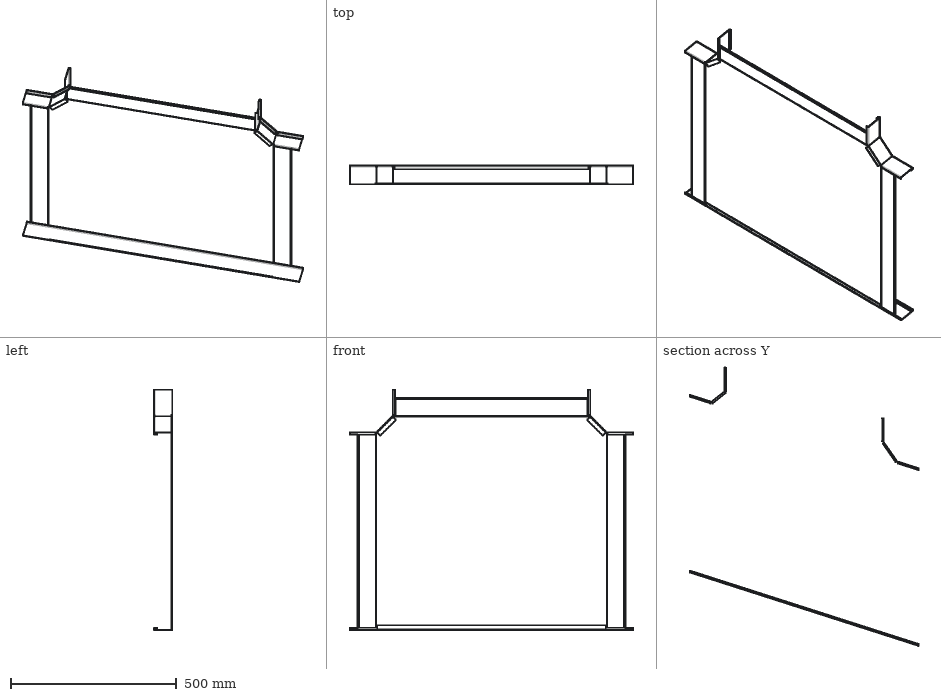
import cadquery as cq
import math

length = 854.0
depth = 57.0
height = 725.0
sheet = 1.9

bend_radius = 2.3
hem_radius = 3.6
hem_width = 11.0
short_lip = 7.3
long_lip = 15.0
long_lip_half_length = 344.0
relief = 2.5
slope_relief = 1.0

shelf_z = 234.0
shelf_end_x = 347.0
upright_x = 298.0
slope_angle = 45.0

side_band_outer = 404.0
side_band_inner = 347.0
top_band_bottom = 281.0
top_band_top = 338.0
top_band_half_length = 289.5
band_rim = 2.5
band_slope = 2.5

half_length = length / 2
front_y = -depth / 2
rear_y = depth / 2
bottom_z = -height / 2
top_z = height / 2
web_front_y = front_y + bend_radius
web_rear_y = rear_y - hem_radius
slope_rise = (shelf_end_x - upright_x) * math.tan(math.radians(slope_angle))
upright_z = shelf_z + slope_rise


def on_arc(center_y, center_depth, radius, degrees):
    """Point of an arc in a channel section; 0 degrees points to the rear, 90 to the outer face."""
    angle = math.radians(degrees)
    return (center_y + radius * math.cos(angle), center_depth + radius * math.sin(angle))


def section_plane(start, direction):
    """Section plane at a path point: local x is +Y, local -y points to the inside of the channel."""
    return cq.Plane(origin=(start[0], 0, start[1]), xDir=(0, 1, 0), normal=(direction[0], 0, direction[1]))


def front_lip(plane, run, lip):
    inner_radius = bend_radius - sheet
    return (
        cq.Workplane(plane)
        .moveTo(web_front_y, 0)
        .threePointArc(on_arc(web_front_y, -bend_radius, bend_radius, 135), (front_y, -bend_radius))
        .lineTo(front_y, -lip)
        .lineTo(front_y + sheet, -lip)
        .lineTo(front_y + sheet, -bend_radius)
        .threePointArc(on_arc(web_front_y, -bend_radius, inner_radius, 135), (web_front_y, -sheet))
        .close()
        .extrude(run)
    )


def rear_hem(plane, run):
    hem_height = 2 * hem_radius
    inner_radius = hem_radius - sheet
    free_edge_y = rear_y - hem_width
    return (
        cq.Workplane(plane)
        .moveTo(web_rear_y, 0)
        .threePointArc((rear_y, -hem_radius), (web_rear_y, -hem_height))
        .lineTo(free_edge_y, -hem_height)
        .lineTo(free_edge_y, sheet - hem_height)
        .lineTo(web_rear_y, sheet - hem_height)
        .threePointArc(on_arc(web_rear_y, -hem_radius, inner_radius, 0), (web_rear_y, -sheet))
        .close()
        .extrude(run)
    )


def channel_edges(start, end, start_gap, end_gap, lip):
    """Front lip and rear hem along one straight arm of a channel."""
    span = math.dist(start, end)
    direction = ((end[0] - start[0]) / span, (end[1] - start[1]) / span)
    first = (start[0] + direction[0] * start_gap, start[1] + direction[1] * start_gap)
    run = span - start_gap - end_gap
    plane = section_plane(first, direction)
    return front_lip(plane, run, lip).union(rear_hem(plane, run))


def web(outline):
    """Flat or folded web: an XZ outline carried from the front bend to the rear fold."""
    return (
        cq.Workplane("XZ", origin=(0, web_front_y, 0))
        .polyline(outline)
        .close()
        .extrude(web_front_y - web_rear_y)
    )


def make_left_corner():
    """Channel with a level arm, a 45 degree arm and an upright arm."""
    tip = (-half_length, shelf_z)
    shelf_bend = (-shelf_end_x, shelf_z)
    upright_bend = (-upright_x, upright_z)
    top = (-upright_x, top_z)
    miter = sheet * math.tan(math.radians(slope_angle / 2))
    body = web([
        tip,
        shelf_bend,
        upright_bend,
        top,
        (-upright_x + sheet, top_z),
        (-upright_x + sheet, upright_z - miter),
        (-shelf_end_x + miter, shelf_z - sheet),
        (-half_length, shelf_z - sheet),
    ])
    body = body.union(channel_edges(tip, shelf_bend, 0, relief, short_lip))
    body = body.union(channel_edges(shelf_bend, upright_bend, slope_relief, slope_relief, long_lip))
    return body.union(channel_edges(upright_bend, top, relief, 0, short_lip))


def make_bottom_channel():
    """Full-length channel whose front lip is taller between the side bands."""
    right_end = (half_length, bottom_z)
    left_end = (-half_length, bottom_z)
    body = web([
        left_end,
        right_end,
        (half_length, bottom_z + sheet),
        (-half_length, bottom_z + sheet),
    ])
    body = body.union(channel_edges(right_end, left_end, 0, 0, short_lip))
    lip_extension = cq.Workplane("XY").box(
        2 * long_lip_half_length, sheet, long_lip - short_lip, centered=(True, False, False)
    ).translate((0, front_y, bottom_z + short_lip))
    return body.union(lip_extension)


def band_prism(plane, inner, outer, run):
    """Trapezoid ridge, one sheet thick, from the panel face out to the front face."""
    return (
        cq.Workplane(plane)
        .polyline([
            (inner, front_y + sheet),
            (inner + band_slope, front_y),
            (outer - band_slope, front_y),
            (outer, front_y + sheet),
        ])
        .close()
        .extrude(run)
    )


def make_panel():
    """Sheet lying behind the lips, with three bands pressed forward flush with them."""
    side_bottom = bottom_z + short_lip
    side_top = shelf_z - short_lip
    slope_offset = shelf_z + shelf_end_x - bend_radius * math.sqrt(2)
    left_edge = [
        (-long_lip_half_length, bottom_z + bend_radius),
        (-long_lip_half_length, side_bottom),
        (-side_band_outer, side_bottom),
        (-side_band_outer, side_top),
        (side_top - slope_offset, side_top),
        (-top_band_half_length, slope_offset - top_band_half_length),
        (-top_band_half_length, top_band_top),
    ]
    right_edge = [(-x, z) for x, z in reversed(left_edge)]
    body = (
        cq.Workplane("XZ", origin=(0, front_y + sheet, 0))
        .polyline(left_edge + right_edge)
        .close()
        .extrude(-sheet)
    )

    side_plane = cq.Plane(origin=(0, 0, side_bottom), xDir=(1, 0, 0), normal=(0, 0, 1))
    right_band = band_prism(side_plane, side_band_inner, side_band_outer - band_rim, side_top - side_bottom)
    top_plane = cq.Plane(origin=(top_band_half_length, 0, 0), xDir=(0, 0, 1), normal=(-1, 0, 0))
    top_band = band_prism(top_plane, top_band_bottom, top_band_top - band_rim, 2 * top_band_half_length)
    for band in (right_band, right_band.mirror("YZ"), top_band):
        hollow = band.translate((0, sheet, 0))
        body = body.union(band).cut(hollow)
    return body


left_corner = make_left_corner()
right_corner = left_corner.mirror("YZ")
bottom_channel = make_bottom_channel()
panel = make_panel()

result = cq.Compound.makeCompound([
    left_corner.solids().val(),
    right_corner.solids().val(),
    bottom_channel.solids().val(),
    panel.solids().val(),
])